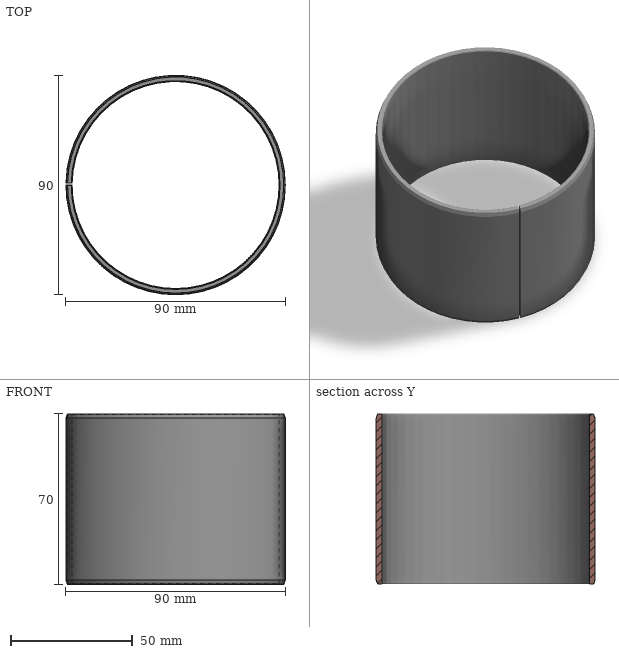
import cadquery as cq
import math

outer_diameter = 90.0
wall = 2.5
length = 70.0
slit_width = 0.8

outer_chamfer_length = 1.8
outer_chamfer_angle = 20.0
outer_chamfer_depth = outer_chamfer_length * math.tan(math.radians(outer_chamfer_angle))

bore_chamfer = 0.4

outer_radius = outer_diameter / 2
bore_radius = outer_radius - wall
half_length = length / 2

wall_section = (
    cq.Workplane("XZ")
    .moveTo(bore_radius + bore_chamfer, -half_length)
    .lineTo(outer_radius - outer_chamfer_depth, -half_length)
    .lineTo(outer_radius, -half_length + outer_chamfer_length)
    .lineTo(outer_radius, half_length - outer_chamfer_length)
    .lineTo(outer_radius - outer_chamfer_depth, half_length)
    .lineTo(bore_radius + bore_chamfer, half_length)
    .lineTo(bore_radius, half_length - bore_chamfer)
    .lineTo(bore_radius, -half_length + bore_chamfer)
    .close()
)
sleeve = wall_section.revolve(360, (0, 0, 0), (0, 1, 0))

slit = cq.Workplane("XY").box(outer_radius, slit_width, length, centered=(True, False, True))
slit = slit.translate((-outer_radius, 0, 0))

result = sleeve.cut(slit)